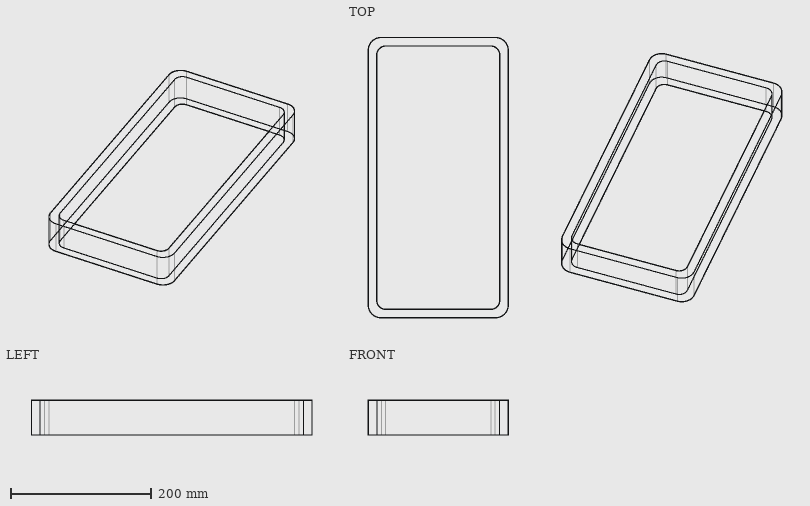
import cadquery as cq

width = 200.0
length = 400.0
height = 50.0

wall = 12.5
outer_corner_radius = 18.75
inner_corner_radius = 12.5


def rounded_block(size_x, size_y, corner_radius):
    """Block of the frame's height, centred on the origin, with rounded vertical edges."""
    block = cq.Workplane("XY").box(size_x, size_y, height)
    return block.edges("|Z").fillet(corner_radius)


outer_block = rounded_block(width, length, outer_corner_radius)
opening = rounded_block(width - 2 * wall, length - 2 * wall, inner_corner_radius)

result = outer_block.cut(opening)